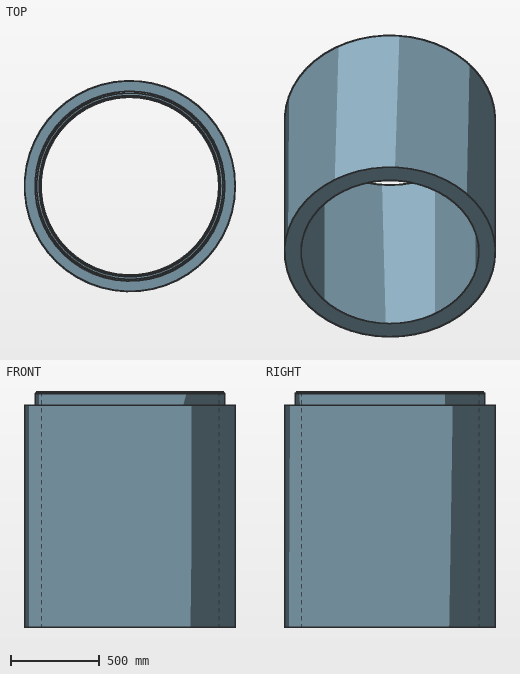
import cadquery as cq

outer_diameter = 1186.0
bore_diameter = 1000.0
spigot_diameter = 1068.0
total_height = 1324.0
spigot_height = 74.0
rim_chamfer = 10.0

shoulder_height = total_height - spigot_height


def make_pipe_body():
    """Solid barrel with a narrower spigot on its upper end."""
    barrel = cq.Workplane("XY").circle(outer_diameter / 2).extrude(shoulder_height)
    return barrel.faces(">Z").workplane().circle(spigot_diameter / 2).extrude(spigot_height)


def cut_bore(body):
    """Open the straight bore through the full height."""
    bore = cq.Workplane("XY").circle(bore_diameter / 2).extrude(total_height)
    return body.cut(bore)


def chamfer_spigot_rim(body):
    """Bevel the outer and inner edges of the spigot's end face."""
    return body.faces(">Z").edges().chamfer(rim_chamfer)


result = chamfer_spigot_rim(cut_bore(make_pipe_body()))